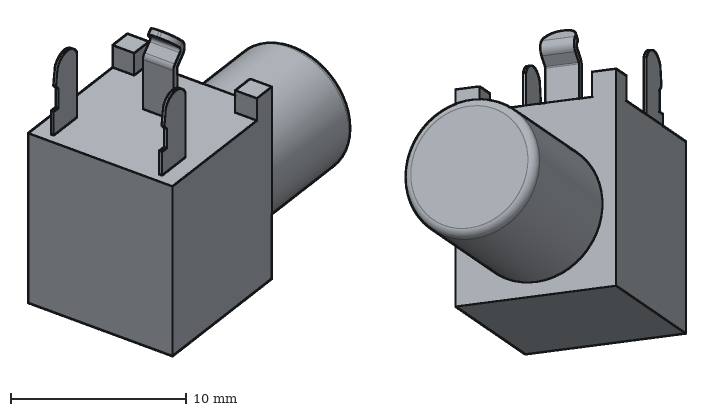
import cadquery as cq
import math

housing_width = 10.0
housing_height = 11.5
overall_length = 19.51
overall_height = 17.01

barrel_diameter = 8.31
barrel_length = overall_length - housing_width
barrel_edge_radius = 0.5

standoff_size = 1.5

contact_width = 2.1
contact_thickness = 0.4
contact_front_y = 5.83
lower_bend_height = 3.57
upper_bend_height = 4.39
lower_bend_radius = 0.53
upper_bend_radius = 0.23
contact_tip_radius = 0.95

blade_spacing = 7.51
blade_thickness = 0.2
blade_front_y = 0.62
blade_notch_y = 1.11
blade_barb_y = 0.85
blade_shoulder_y = 1.01
blade_rear_y = 2.99
blade_foot_height = 1.6
blade_notch_top = 2.89
blade_barb_height = 3.2
blade_shoulder_height = 4.35
blade_height = 5.01


def make_housing():
    return cq.Workplane("XY").box(
        housing_width, housing_width, housing_height, centered=(True, False, False)
    )


def make_barrel():
    barrel_plane = cq.Plane(
        origin=(0, housing_width, housing_width / 2), xDir=(1, 0, 0), normal=(0, 1, 0)
    )
    barrel = cq.Workplane(barrel_plane).circle(barrel_diameter / 2).extrude(barrel_length)
    return barrel.faces(">Y").edges().fillet(barrel_edge_radius)


def make_standoff(side):
    center = (
        side * (housing_width - standoff_size) / 2,
        housing_width - standoff_size / 2,
        housing_height + standoff_size / 2,
    )
    return cq.Workplane("XY").box(standoff_size, standoff_size, standoff_size).translate(center)


def extrude_across(profile, thickness, center_x):
    """Extrude a YZ profile symmetrically about center_x and set it on the housing top."""
    solid = profile.extrude(thickness / 2, both=True)
    return solid.translate((center_x, 0, housing_height))


def make_contact():
    lean = upper_bend_height - lower_bend_height
    fold_y = contact_front_y + lean
    tip_offset = contact_thickness / math.sqrt(2)
    tip_height = overall_height - housing_height
    front_tip_height = tip_height - tip_offset
    front_tip_y = fold_y - (front_tip_height - upper_bend_height)
    back_y = contact_front_y + contact_thickness
    back_bend_height = lower_bend_height - contact_thickness * math.tan(math.radians(22.5))
    back_fold_y = fold_y + contact_thickness * math.sqrt(2)

    profile = (
        cq.Workplane("YZ")
        .moveTo(contact_front_y, 0)
        .lineTo(contact_front_y, lower_bend_height)
        .lineTo(fold_y, upper_bend_height)
        .lineTo(front_tip_y, front_tip_height)
        .lineTo(front_tip_y + tip_offset, tip_height)
        .lineTo(back_fold_y, upper_bend_height)
        .lineTo(back_y, back_bend_height)
        .lineTo(back_y, 0)
        .close()
    )
    contact = extrude_across(profile, contact_width, 0)

    bend_fillets = [
        (contact_front_y, lower_bend_height, lower_bend_radius),
        (back_y, back_bend_height, lower_bend_radius - contact_thickness),
        (fold_y, upper_bend_height, upper_bend_radius),
        (back_fold_y, upper_bend_height, upper_bend_radius + contact_thickness),
    ]
    for y, z, radius in bend_fillets:
        bend_point = (0, y, housing_height + z)
        bend_edge = cq.selectors.NearestToPointSelector(bend_point)
        contact = contact.edges("|X").edges(bend_edge).fillet(radius)

    tip_face = contact.faces(cq.selectors.DirectionMinMaxSelector(cq.Vector(0, -1, 1)))
    return tip_face.edges("not |X").fillet(contact_tip_radius)


def make_blade(side):
    dome_center_y = (blade_shoulder_y + blade_rear_y) / 2
    profile = (
        cq.Workplane("YZ")
        .moveTo(blade_front_y, 0)
        .lineTo(blade_front_y, blade_foot_height)
        .lineTo(blade_notch_y, blade_foot_height)
        .lineTo(blade_notch_y, blade_notch_top)
        .lineTo(blade_barb_y, blade_barb_height)
        .lineTo(blade_shoulder_y, blade_shoulder_height)
        .threePointArc((dome_center_y, blade_height), (blade_rear_y, blade_shoulder_height))
        .lineTo(blade_rear_y, 0)
        .close()
    )
    return extrude_across(profile, blade_thickness, side * blade_spacing / 2)


result = make_housing().union(make_barrel()).union(make_contact())
for side in (-1, 1):
    result = result.union(make_standoff(side)).union(make_blade(side))